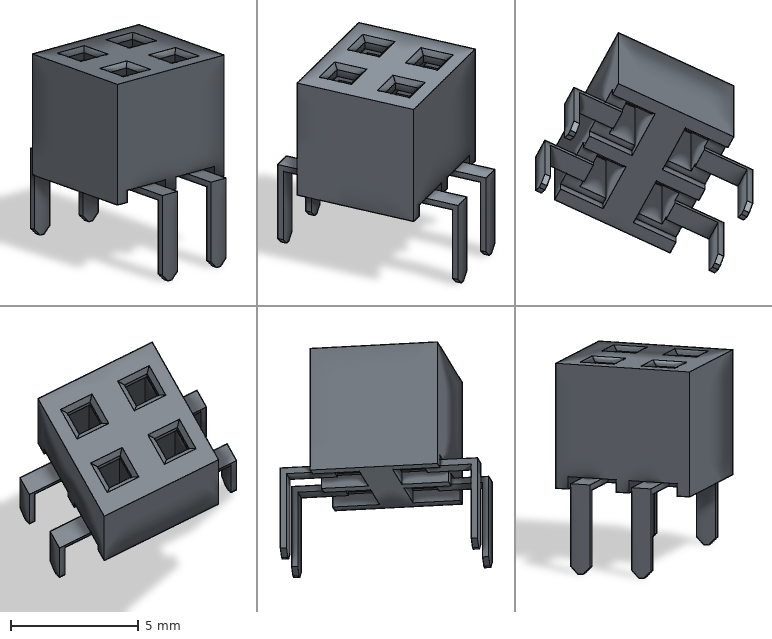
import cadquery as cq

PITCH = 2.54
ROWS = (-PITCH / 2, PITCH / 2)
SOCKET_X = -PITCH / 2

BODY_X = 2 * PITCH
BODY_Y = 5.58
BODY_Z = 5.0

ENTRY_SIZE = 1.0
ENTRY_DEPTH = 0.5
BEVEL = 0.2

SHEET = 0.25
CONTACT_BACK = 0.53
CONTACT_HALF_GAP = 0.75
CONTACT_DROP = 0.3

LEG_OVERALL_X = 7.87
LEG_WIDTH = 0.8
LEG_BOTTOM = -3.1
TIP_CHAMFER = 0.3

CHAMBER_HALF_WIDTH = CONTACT_HALF_GAP + SHEET
CHAMBER_BACK = CONTACT_BACK + SHEET
CHAMBER_FRONT = 0.6
CHAMBER_TOP = BODY_Z - ENTRY_DEPTH
NOTCH_HEIGHT = 0.5


def block(x_range, y_half, z_range):
    """Box between two X and two Z values, symmetric about Y = 0."""
    length = x_range[1] - x_range[0]
    height = z_range[1] - z_range[0]
    corner = cq.Vector(x_range[0], -y_half, z_range[0])
    return cq.Workplane(cq.Solid.makeBox(length, 2 * y_half, height, corner))


def make_socket_cut():
    """Entry, chamber and notch of one socket on the -X side, in the row Y = 0."""
    half_entry = ENTRY_SIZE / 2
    entry = block((SOCKET_X - half_entry, SOCKET_X + half_entry), half_entry, (0, BODY_Z))
    mouth_size = ENTRY_SIZE + 2 * BEVEL
    funnel = (
        cq.Workplane("XY", origin=(SOCKET_X, 0, BODY_Z - BEVEL))
        .rect(ENTRY_SIZE, ENTRY_SIZE)
        .workplane(offset=BEVEL)
        .rect(mouth_size, mouth_size)
        .loft(ruled=True)
    )
    chamber_x = (SOCKET_X - CHAMBER_BACK, SOCKET_X + CHAMBER_FRONT)
    chamber = block(chamber_x, CHAMBER_HALF_WIDTH, (0, CHAMBER_TOP))
    notch = block((-BODY_X / 2, chamber_x[1]), CHAMBER_HALF_WIDTH, (0, NOTCH_HEIGHT))
    return entry.union(funnel).union(chamber).union(notch)


def make_contact():
    """Contact of one socket on the -X side, in the row Y = 0."""
    inner_face = SOCKET_X - CONTACT_BACK
    front = SOCKET_X + CHAMBER_FRONT
    channel_z = (NOTCH_HEIGHT, CHAMBER_TOP - CONTACT_DROP)
    channel = block((inner_face - SHEET, front), CHAMBER_HALF_WIDTH, channel_z)
    channel = channel.cut(block((inner_face, front), CONTACT_HALF_GAP, channel_z))

    foot_z = (NOTCH_HEIGHT - SHEET, NOTCH_HEIGHT)
    outer_face = -LEG_OVERALL_X / 2
    foot = block((outer_face, inner_face), LEG_WIDTH / 2, foot_z)
    leg = block((outer_face, outer_face + SHEET), LEG_WIDTH / 2, (LEG_BOTTOM, NOTCH_HEIGHT))
    leg = leg.faces("<Z").edges("|X").chamfer(TIP_CHAMFER)
    return channel.union(foot).union(leg)


def place_in_grid(shape):
    """Copies of a -X side shape in both rows, with their half-turned twins on the +X side."""
    copies = []
    for turn in (0, 180):
        turned = shape.rotate((0, 0, 0), (0, 0, 1), turn)
        for row in ROWS:
            copies.append(turned.translate((0, row, 0)))
    return copies


result = cq.Workplane("XY").box(BODY_X, BODY_Y, BODY_Z, centered=(True, True, False))
for socket_cut in place_in_grid(make_socket_cut()):
    result = result.cut(socket_cut)
for contact in place_in_grid(make_contact()):
    result = result.union(contact)